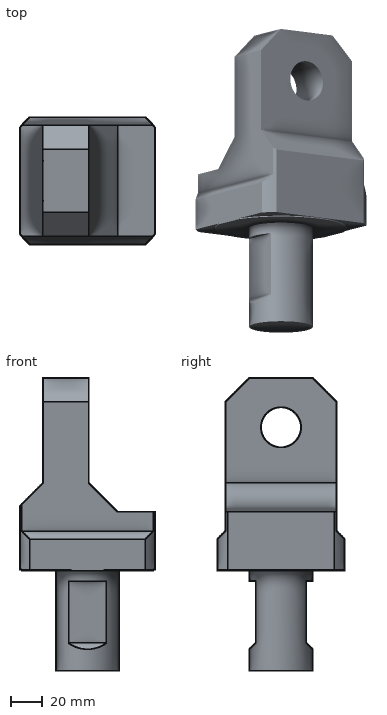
import cadquery as cq

total_height = 184.0
block_length = 85.0
block_width = 80.0
turned_diameter = 108.0

shank_diameter = 40.0
flat_spacing = 32.0
flat_bottom = 17.5
flat_top = 56.3

block_bottom = 63.5
ledge_height = 100.0
shoulder_height = 118.0
lug_left = -28.0
lug_right = 1.0
lug_width = 70.0
lug_corner_chamfer = 15.0
flange_top = 87.8

seat_diameter = 82.8
seat_thickness = 0.5

hole_diameter = 25.0
hole_height = 152.9


def make_side_profile():
    """Lug and block outline in XZ, with 45 degree shoulders."""
    half_length = block_length / 2
    left_slope_height = shoulder_height - (half_length + lug_left)
    ledge_start = lug_right + shoulder_height - ledge_height
    points = [
        (-half_length, block_bottom),
        (half_length, block_bottom),
        (half_length, ledge_height),
        (ledge_start, ledge_height),
        (lug_right, shoulder_height),
        (lug_right, total_height),
        (lug_left, total_height),
        (lug_left, shoulder_height),
        (-half_length, left_slope_height),
    ]
    return cq.Workplane("XZ").polyline(points).close().extrude(block_width / 2, both=True)


def make_end_profile():
    """Symmetric YZ outline: wide base, 45 degree step and chamfered lug top."""
    half_base = block_width / 2
    half_lug = lug_width / 2
    half_top = half_lug - lug_corner_chamfer
    right_half = [
        (half_base, block_bottom),
        (half_base, flange_top - (half_base - half_lug)),
        (half_lug, flange_top),
        (half_lug, total_height - lug_corner_chamfer),
        (half_top, total_height),
    ]
    left_half = [(-y, z) for y, z in reversed(right_half)]
    outline = cq.Workplane("YZ").polyline(right_half + left_half).close()
    return outline.extrude(block_length / 2, both=True)


def make_head():
    """Block and lug with turned corners and the cross hole."""
    turning = cq.Workplane("XY").circle(turned_diameter / 2).extrude(total_height)
    hole = (
        cq.Workplane("YZ")
        .center(0, hole_height)
        .circle(hole_diameter / 2)
        .extrude(block_length / 2, both=True)
    )
    return make_side_profile().intersect(make_end_profile()).intersect(turning).cut(hole)


def make_seat():
    seat_bottom = block_bottom - seat_thickness
    seat = cq.Workplane("XY", origin=(0, 0, seat_bottom)).circle(seat_diameter / 2).extrude(seat_thickness)
    trim = cq.Workplane("XY").box(block_length, block_width, 2 * total_height)
    return seat.intersect(trim)


def make_flat_cutter():
    """Cutter for the +Y flat: square at the top, 45 degree run-out at the bottom."""
    flat_y = flat_spacing / 2
    shank_radius = shank_diameter / 2
    points = [
        (flat_y, flat_bottom),
        (flat_y, flat_top),
        (shank_radius, flat_top),
        (shank_radius, flat_bottom - (shank_radius - flat_y)),
    ]
    return cq.Workplane("YZ").polyline(points).close().extrude(shank_radius, both=True)


def make_shank():
    shank = cq.Workplane("XY").circle(shank_diameter / 2).extrude(block_bottom)
    cutter = make_flat_cutter()
    return shank.cut(cutter).cut(cutter.mirror("XZ"))


result = make_head().union(make_seat()).union(make_shank())